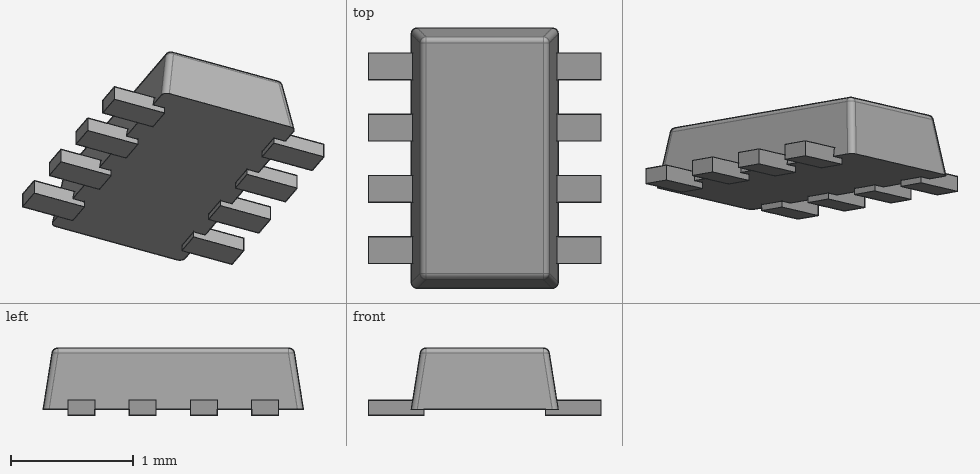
import cadquery as cq

housing_length_x = 1.2
housing_length_y = 2.125
housing_bottom = 0.05
housing_top = 0.55
draft_angle = 9.0
edge_radius = 0.05

lead_span = 1.9
lead_length = 0.455
lead_width = 0.22
lead_thickness = 0.125
lead_pitch = 0.5
leads_per_side = 4


def make_lead(side, y):
    """One flat lead; side is -1 or +1 along X."""
    x = side * (lead_span - lead_length) / 2
    return (
        cq.Workplane("XY")
        .center(x, y)
        .rect(lead_length, lead_width)
        .extrude(lead_thickness)
    )


def make_housing(leads):
    """Drafted, rounded block with a recess for the buried end of each lead."""
    block = (
        cq.Workplane("XY", origin=(0, 0, housing_bottom))
        .rect(housing_length_x, housing_length_y)
        .extrude(housing_top - housing_bottom, taper=draft_angle)
    )
    block = block.faces("not <Z").edges("not <Z").fillet(edge_radius)
    for lead in leads:
        block = block.cut(lead)
    return block


first_lead_y = -lead_pitch * (leads_per_side - 1) / 2
leads = []
for side in (-1, 1):
    for index in range(leads_per_side):
        leads.append(make_lead(side, first_lead_y + index * lead_pitch))

housing = make_housing(leads)

result = cq.Compound.makeCompound([housing.val(), *[lead.val() for lead in leads]])